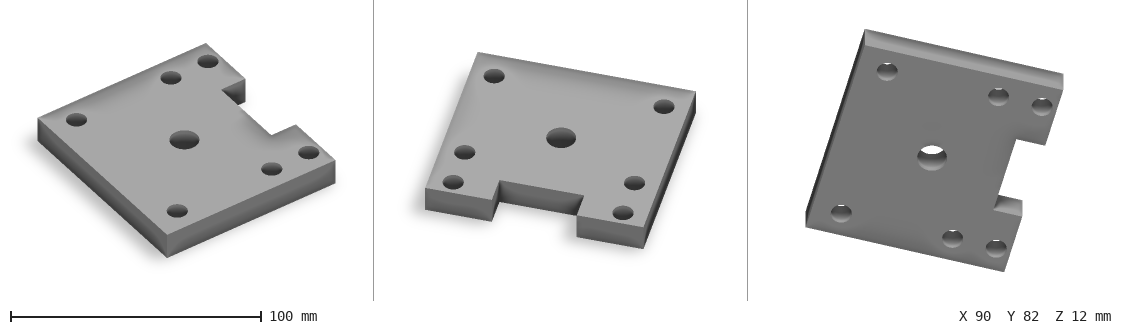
import cadquery as cq

width = 90.0
depth = 82.0
thickness = 12.0

notch_width = 35.0
notch_depth = 12.0

bolt_diameter = 8.5
bolt_spacing_x = 70.0
bolt_rows = (12.0, 58.0, 76.0)
bore_diameter = 12.0
bore_y = 40.0


def through_holes(centres, diameter):
    """Cylinders that pass through the full plate thickness."""
    return cq.Workplane("XY").pushPoints(centres).circle(diameter / 2).extrude(thickness)


plate = cq.Workplane("XY").box(width, depth, thickness, centered=(True, False, False))

notch = (
    cq.Workplane("XY")
    .box(notch_width, notch_depth, thickness, centered=(True, False, False))
    .translate((0, depth - notch_depth, 0))
)

bolt_centres = [(side * bolt_spacing_x / 2, y) for side in (-1, 1) for y in bolt_rows]
bolt_holes = through_holes(bolt_centres, bolt_diameter)
bore = through_holes([(0, bore_y)], bore_diameter)

result = plate.cut(notch).cut(bolt_holes).cut(bore)